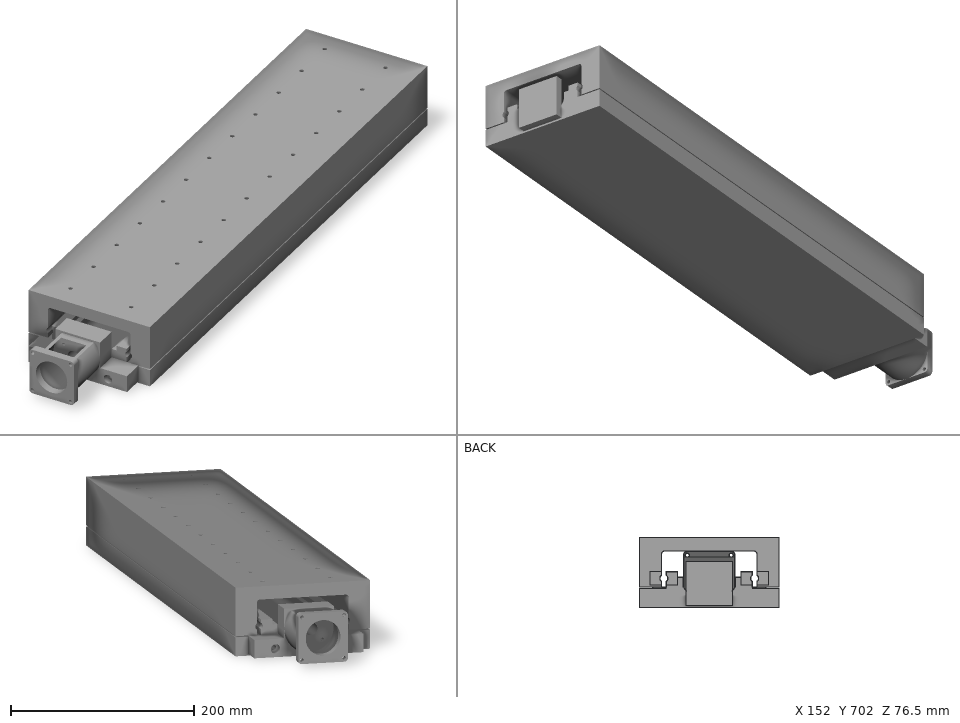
import cadquery as cq
TOTAL_LENGTH = 702
TABLE_WIDTH = 152.0
TABLE_LENGTH = 610.0
TABLE_HEIGHT = 76.5

AXIS_HEIGHT = 33.3
SHAFT_HOLE_RADIUS = 7.0

RAIL_WIDTH = 12.5
RAIL_HEIGHT = 15.0
RAIL_BOTTOM = 24.5
RAIL_TOP = RAIL_BOTTOM + RAIL_HEIGHT
RAIL_GAP = 5.0
INNER_RAIL_X = 34.5
OUTER_RAIL_X = INNER_RAIL_X + RAIL_WIDTH + RAIL_GAP
RACE_X = OUTER_RAIL_X - RAIL_GAP / 2
RACE_Z = (RAIL_BOTTOM + RAIL_TOP) / 2
RACE_RADIUS = 4.0

SLAB_TOP = 21.0
RIB_TOP = 33.3
TROUGH_WIDTH = 57.0
TROUGH_FLOOR = 17.0
TROUGH_FILLET = 8.5

CARRIAGE_BOTTOM = 22.5
CHANNEL_TOP = 62.0
CHANNEL_FILLET = 3.5
MOUNT_HOLE_ROWS = 12
MOUNT_HOLE_PITCH = TABLE_LENGTH / MOUNT_HOLE_ROWS
MOUNT_HOLE_SPACING = TABLE_WIDTH / 2
MOUNT_HOLE_RADIUS = 2.45
MOUNT_HOLE_DEPTH = 10.5

BLOCK_BOTTOM = 2.0
BLOCK_LENGTH = 25.0
BLOCK_FRONT = -BLOCK_LENGTH
FOOT_WIDTH = 123.5
FOOT_TOP = 22.5
HEAD_WIDTH = 56.0
HEAD_TOP = 55.5
BOLT_X = 38.0
BOLT_Z = 11.0
BOLT_RADIUS = 3.0
COUNTERBORE_RADIUS = 5.25
COUNTERBORE_DEPTH = 7.0

HOUSING_LENGTH = 57.5
HOUSING_FRONT = BLOCK_FRONT - HOUSING_LENGTH
HOUSING_RADIUS = HEAD_WIDTH / 2
HOUSING_FLAT = 19.5
REAR_WALL = 9.0
CAVITY_BACK = BLOCK_FRONT - REAR_WALL
CAVITY_RADIUS = 25.0
WALL_SCREW_OFFSET = 12.3
WALL_SCREW_RADIUS = 1.75
FLANGE_SIDE = HEAD_WIDTH
FLANGE_LENGTH = 9.0
FLANGE_BACK = HOUSING_FRONT + FLANGE_LENGTH
FLANGE_FILLET = 4.0
FLANGE_HOLE_OFFSET = 24.0
FLANGE_HOLE_RADIUS = 2.0
PILOT_RADIUS = 19.5

REAR_LENGTH = TOTAL_LENGTH - TABLE_LENGTH - BLOCK_LENGTH - HOUSING_LENGTH
REAR_WIDTH = 50.5
REAR_TOP = 50.5


def box(x_start, width, y_start, y_end, z_start, z_end):
    """Box with its lower corner at (x_start, y_start, z_start)."""
    corner = (x_start, y_start, z_start)
    return cq.Workplane("XY", origin=corner).box(width, y_end - y_start, z_end - z_start, centered=False)


def wide_box(width, y_start, y_end, z_start, z_end):
    """Box centred on X = 0."""
    return box(-width / 2, width, y_start, y_end, z_start, z_end)


def rod(x, z, radius, y_start, y_end):
    """Cylinder along Y."""
    return cq.Workplane("XZ", origin=(x, y_start, z)).circle(radius).extrude(y_start - y_end)


def four_rods(offset, radius, y_start, y_end):
    """Four cylinders along Y at the corners of a square around the drive axis."""
    side = 2 * offset
    plane = cq.Workplane("XZ", origin=(0, y_start, AXIS_HEIGHT))
    return plane.rarray(side, side, 2, 2).circle(radius).extrude(y_start - y_end)


def make_base():
    slab = wide_box(TABLE_WIDTH, 0, TABLE_LENGTH, 0, SLAB_TOP)
    seat = wide_box(2 * (INNER_RAIL_X + RAIL_WIDTH), 0, TABLE_LENGTH, SLAB_TOP, RAIL_BOTTOM)
    ribs = wide_box(2 * INNER_RAIL_X, 0, TABLE_LENGTH, RAIL_BOTTOM, RIB_TOP)
    trough = wide_box(TROUGH_WIDTH, 0, TABLE_LENGTH, TROUGH_FLOOR, RIB_TOP)
    trough = trough.edges("|Y and <Z").fillet(TROUGH_FILLET)
    return slab.union(seat).union(ribs).cut(trough)


def make_carriage():
    carriage = wide_box(TABLE_WIDTH, 0, TABLE_LENGTH, CARRIAGE_BOTTOM, TABLE_HEIGHT)
    channel = wide_box(2 * OUTER_RAIL_X, 0, TABLE_LENGTH, CARRIAGE_BOTTOM, CHANNEL_TOP)
    channel = channel.edges("|Y and >Z").fillet(CHANNEL_FILLET)
    rail_notches = wide_box(2 * (OUTER_RAIL_X + RAIL_WIDTH), 0, TABLE_LENGTH, RAIL_BOTTOM, RAIL_TOP)
    mount_holes = (
        cq.Workplane("XY", origin=(0, TABLE_LENGTH / 2, TABLE_HEIGHT))
        .rarray(MOUNT_HOLE_SPACING, MOUNT_HOLE_PITCH, 2, MOUNT_HOLE_ROWS)
        .circle(MOUNT_HOLE_RADIUS)
        .extrude(-MOUNT_HOLE_DEPTH)
    )
    return carriage.cut(channel).cut(rail_notches).cut(mount_holes)


def make_rail(near_x, side):
    """Rail whose face nearest the middle is at near_x, on the +X (1) or -X (-1) side."""
    bar = box(near_x, RAIL_WIDTH, 0, TABLE_LENGTH, RAIL_BOTTOM, RAIL_TOP)
    rail = bar.cut(rod(RACE_X, RACE_Z, RACE_RADIUS, 0, TABLE_LENGTH))
    return rail if side > 0 else rail.mirror("YZ")


def make_front_block():
    foot = wide_box(FOOT_WIDTH, BLOCK_FRONT, 0, BLOCK_BOTTOM, FOOT_TOP)
    head = wide_box(HEAD_WIDTH, BLOCK_FRONT, 0, BLOCK_BOTTOM, HEAD_TOP)
    block = foot.union(head).cut(rod(0, AXIS_HEIGHT, SHAFT_HOLE_RADIUS, BLOCK_FRONT, 0))
    counterbore_end = BLOCK_FRONT + COUNTERBORE_DEPTH
    for x in (-BOLT_X, BOLT_X):
        block = block.cut(rod(x, BOLT_Z, BOLT_RADIUS, BLOCK_FRONT, 0))
        block = block.cut(rod(x, BOLT_Z, COUNTERBORE_RADIUS, BLOCK_FRONT, counterbore_end))
    return block


def make_coupling_housing():
    tube = rod(0, AXIS_HEIGHT, HOUSING_RADIUS, FLANGE_BACK, BLOCK_FRONT)
    flat_z = AXIS_HEIGHT + HOUSING_FLAT
    above_flat = wide_box(
        2 * HOUSING_RADIUS, FLANGE_BACK, BLOCK_FRONT, flat_z, AXIS_HEIGHT + HOUSING_RADIUS
    )
    flange_bottom = AXIS_HEIGHT - FLANGE_SIDE / 2
    flange_top = AXIS_HEIGHT + FLANGE_SIDE / 2
    flange = wide_box(FLANGE_SIDE, HOUSING_FRONT, FLANGE_BACK, flange_bottom, flange_top)
    flange = flange.edges("|Y").fillet(FLANGE_FILLET)
    housing = tube.cut(above_flat).union(flange)

    housing = housing.cut(rod(0, AXIS_HEIGHT, CAVITY_RADIUS, FLANGE_BACK, CAVITY_BACK))
    housing = housing.cut(rod(0, AXIS_HEIGHT, PILOT_RADIUS, HOUSING_FRONT, FLANGE_BACK))
    housing = housing.cut(rod(0, AXIS_HEIGHT, SHAFT_HOLE_RADIUS, CAVITY_BACK, BLOCK_FRONT))
    housing = housing.cut(four_rods(WALL_SCREW_OFFSET, WALL_SCREW_RADIUS, CAVITY_BACK, BLOCK_FRONT))
    return housing.cut(four_rods(FLANGE_HOLE_OFFSET, FLANGE_HOLE_RADIUS, HOUSING_FRONT, FLANGE_BACK))


def make_rear_block():
    return wide_box(REAR_WIDTH, TABLE_LENGTH, TABLE_LENGTH + REAR_LENGTH, BLOCK_BOTTOM, REAR_TOP)


base = make_base()
carriage = make_carriage()
inner_rails = [make_rail(INNER_RAIL_X, side) for side in (-1, 1)]
outer_rails = [make_rail(OUTER_RAIL_X, side) for side in (-1, 1)]
front_block = make_front_block()
coupling_housing = make_coupling_housing()
rear_block = make_rear_block()

result = cq.Compound.makeCompound(
    [
        base.val(),
        carriage.val(),
        *[rail.val() for rail in inner_rails],
        *[rail.val() for rail in outer_rails],
        front_block.val(),
        coupling_housing.val(),
        rear_block.val(),
    ]
)